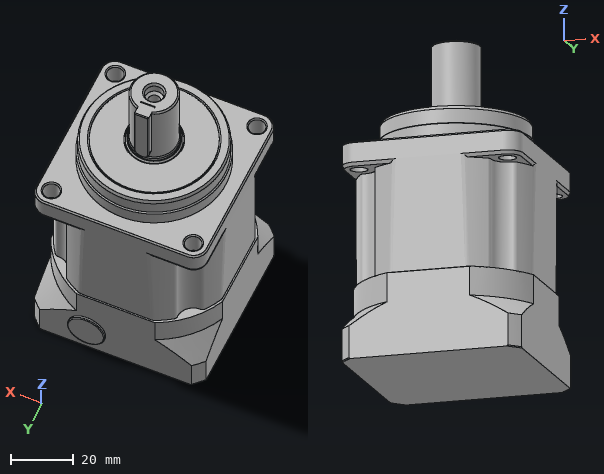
import cadquery as cq
import math

TOTAL_HEIGHT = 108.5
SIDE = 60.0
FLANGE_BOTTOM_Z = 63.5
FLANGE_TOP_Z = 71.6
PILOT_STEP_Z = 76.8
PILOT_TOP_Z = 82.6

BASE_CORNER_R = 40.0
BASE_NECK_R = 33.0
BASE_CORNER_TOP_Z = 10.8
BASE_NECK_Z = 17.8
BASE_TOP_Z = 27.3
BASE_EDGE_CHAMFER = 0.3

PLUG_R = 6.5
PLUG_X = 10.0
PLUG_Z = 9.5
PLUG_HEIGHT = 1.0
PLUG_CHAMFER = 0.3
PLUG_ROOT = 1.1

BODY_R = 32.1
BODY_TAPER = 0.5
BODY_EDGE_FILLET = 3.0
SCALLOP_R = 5.4
SCALLOP_LIP_FILLET = 1.5

FLANGE_CORNER_R = 5.0
FLANGE_TOP_CHAMFER = 0.5
FLANGE_UNDER_CHAMFER = 0.5
FLANGE_UNDER_HEIGHT = 1.2
BOLT_OFFSET = 24.7
BOLT_HOLE_R = 2.8
BOLT_HOLE_CHAMFER = 0.4

PILOT_LOWER_R = 25.0
PILOT_UPPER_R = 24.4
PILOT_STEP_DROP = 0.3
PILOT_CHAMFER = 0.5
PILOT_CHAMFER_HEIGHT = 1.1
SEAL_FACE_R = 20.7
SEAL_GROOVE_DEPTH = 0.5

SHAFT_R = 8.0
SHAFT_CHAMFER = 0.5
SHAFT_BOTTOM_Z = FLANGE_TOP_Z
COLLAR_R = 8.4
COLLAR_TOP_Z = 84.1
COLLAR_CHAMFER_HEIGHT = 0.5
LIP_TOP_R = 8.7
LIP_R = 9.2
LIP_SLOPE_HEIGHT = 0.5
SEAL_POCKET_R = 9.7
SEAL_POCKET_DEPTH = 0.9

KEY_WIDTH = 5.0
KEY_FLOOR_Y = 5.2
KEY_TOP_Y = 10.0
KEY_BOTTOM_Z = 85.5
KEY_CHAMFER = 0.3
KEY_GAP = 0.3

CENTRE_RIM_R = 3.7
CENTRE_BORE_R = 3.1
CENTRE_RIM_DEPTH = 1.0
CENTRE_BORE_DEPTH = 3.8
CENTRE_DRILL_R = 2.1
CENTRE_DRILL_DEPTH = 10.8
DRILL_SLOPE = math.tan(math.radians(30))

pocket_floor_z = PILOT_TOP_Z - SEAL_POCKET_DEPTH
bolt_points = [(sx * BOLT_OFFSET, sy * BOLT_OFFSET) for sx in (-1, 1) for sy in (-1, 1)]


def turned(profile):
    """Solid of revolution about Z from (radius, z) points."""
    return cq.Workplane("XZ").polyline(profile).close().revolve(360, (0, 0), (0, 1))


def square_prism(bottom_z, top_z):
    return cq.Workplane("XY").workplane(offset=bottom_z).rect(SIDE, SIDE).extrude(top_z - bottom_z)


def make_base():
    blank = turned([
        (0, 0),
        (BASE_CORNER_R - BASE_EDGE_CHAMFER, 0),
        (BASE_CORNER_R, BASE_EDGE_CHAMFER),
        (BASE_CORNER_R, BASE_CORNER_TOP_Z),
        (BASE_NECK_R, BASE_NECK_Z),
        (BASE_NECK_R, BASE_TOP_Z),
        (0, BASE_TOP_Z),
    ])
    return blank.intersect(square_prism(0, BASE_TOP_Z))


def make_plug():
    return (
        cq.Workplane("XZ", origin=(PLUG_X, SIDE / 2 - PLUG_ROOT, PLUG_Z))
        .circle(PLUG_R)
        .extrude(-(PLUG_ROOT + PLUG_HEIGHT))
        .faces(">Y").chamfer(PLUG_CHAMFER)
    )


def make_body():
    body_top_z = FLANGE_BOTTOM_Z + FLANGE_UNDER_HEIGHT
    height = body_top_z - BASE_TOP_Z
    taper_angle = math.degrees(math.atan(BODY_TAPER / height))
    square = (
        cq.Workplane("XY").workplane(offset=body_top_z)
        .rect(SIDE, SIDE)
        .extrude(-height, taper=taper_angle)
    )
    cylinder = cq.Workplane("XY").workplane(offset=BASE_TOP_Z).circle(BODY_R).extrude(height)
    body = square.intersect(cylinder)
    side_edges = cq.selectors.BoxSelector(
        (-SIDE, -SIDE, BASE_TOP_Z + height / 4), (SIDE, SIDE, body_top_z - height / 4)
    )
    body = body.edges(side_edges).fillet(BODY_EDGE_FILLET)

    scallops = (
        cq.Workplane("XY").workplane(offset=BASE_TOP_Z)
        .pushPoints(bolt_points).circle(SCALLOP_R).extrude(height)
    )
    body = body.cut(scallops)
    reach = 1.5 * SCALLOP_R
    for x, y in bolt_points:
        lip_edges = cq.selectors.BoxSelector(
            (x - reach, y - reach, BASE_TOP_Z),
            (x + reach, y + reach, body_top_z),
        )
        body = body.edges("|Z").edges(lip_edges).fillet(SCALLOP_LIP_FILLET)
    return body


def make_flange():
    flange = square_prism(FLANGE_BOTTOM_Z, FLANGE_TOP_Z).edges("|Z").fillet(FLANGE_CORNER_R)
    flange = flange.faces(">Z").chamfer(FLANGE_TOP_CHAMFER)
    return flange.faces("<Z").chamfer(FLANGE_UNDER_HEIGHT, FLANGE_UNDER_CHAMFER)


def make_pilot():
    return turned([
        (0, FLANGE_BOTTOM_Z),
        (PILOT_LOWER_R, FLANGE_BOTTOM_Z),
        (PILOT_LOWER_R, PILOT_STEP_Z - PILOT_STEP_DROP),
        (PILOT_UPPER_R, PILOT_STEP_Z),
        (PILOT_UPPER_R, PILOT_TOP_Z - PILOT_CHAMFER_HEIGHT),
        (PILOT_UPPER_R - PILOT_CHAMFER, PILOT_TOP_Z),
        (SEAL_FACE_R + SEAL_GROOVE_DEPTH, PILOT_TOP_Z),
        (SEAL_FACE_R, PILOT_TOP_Z - SEAL_GROOVE_DEPTH),
        (SEAL_FACE_R, PILOT_TOP_Z),
        (0, PILOT_TOP_Z),
    ])


def make_shaft_seat():
    """Seal pocket in the pilot face and the bore that takes the shaft."""
    return turned([
        (0, SHAFT_BOTTOM_Z),
        (COLLAR_R, SHAFT_BOTTOM_Z),
        (COLLAR_R, pocket_floor_z),
        (SEAL_POCKET_R, pocket_floor_z),
        (SEAL_POCKET_R, PILOT_TOP_Z),
        (0, PILOT_TOP_Z),
    ])


def make_bolt_hole(x, y):
    hole = turned([
        (0, FLANGE_BOTTOM_Z),
        (BOLT_HOLE_R, FLANGE_BOTTOM_Z),
        (BOLT_HOLE_R, FLANGE_TOP_Z - BOLT_HOLE_CHAMFER),
        (BOLT_HOLE_R + BOLT_HOLE_CHAMFER, FLANGE_TOP_Z),
        (0, FLANGE_TOP_Z),
    ])
    return hole.translate((x, y, 0))


def make_housing():
    housing = make_base()
    for part in (make_plug(), make_body(), make_flange(), make_pilot()):
        housing = housing.union(part)
    housing = housing.cut(make_shaft_seat())
    for x, y in bolt_points:
        housing = housing.cut(make_bolt_hole(x, y))
    return housing


def make_shaft_blank():
    return turned([
        (0, SHAFT_BOTTOM_Z),
        (COLLAR_R, SHAFT_BOTTOM_Z),
        (COLLAR_R, pocket_floor_z),
        (LIP_R, pocket_floor_z),
        (LIP_R, PILOT_TOP_Z - LIP_SLOPE_HEIGHT),
        (LIP_TOP_R, PILOT_TOP_Z),
        (COLLAR_R, PILOT_TOP_Z),
        (COLLAR_R, COLLAR_TOP_Z - COLLAR_CHAMFER_HEIGHT),
        (SHAFT_R, COLLAR_TOP_Z),
        (SHAFT_R, TOTAL_HEIGHT - SHAFT_CHAMFER),
        (SHAFT_R - SHAFT_CHAMFER, TOTAL_HEIGHT),
        (0, TOTAL_HEIGHT),
    ])


def make_key_bar(floor_y, top_y):
    """Bar with a round lower end that runs out flush with the shaft end."""
    end_centre_z = KEY_BOTTOM_Z + KEY_WIDTH / 2
    return (
        cq.Workplane("XZ", origin=(0, floor_y, 0))
        .moveTo(-KEY_WIDTH / 2, TOTAL_HEIGHT)
        .lineTo(-KEY_WIDTH / 2, end_centre_z)
        .threePointArc((0, KEY_BOTTOM_Z), (KEY_WIDTH / 2, end_centre_z))
        .lineTo(KEY_WIDTH / 2, TOTAL_HEIGHT)
        .close()
        .extrude(floor_y - top_y)
    )


def make_centre_hole():
    def z(depth):
        return TOTAL_HEIGHT - depth

    cone_depth = CENTRE_BORE_DEPTH + (CENTRE_BORE_R - CENTRE_DRILL_R) * DRILL_SLOPE
    tip_depth = CENTRE_DRILL_DEPTH + CENTRE_DRILL_R * DRILL_SLOPE
    return turned([
        (0, z(0)),
        (CENTRE_RIM_R, z(0)),
        (CENTRE_BORE_R, z(CENTRE_RIM_DEPTH)),
        (CENTRE_BORE_R, z(CENTRE_BORE_DEPTH)),
        (CENTRE_DRILL_R, z(cone_depth)),
        (CENTRE_DRILL_R, z(CENTRE_DRILL_DEPTH)),
        (0, z(tip_depth)),
    ])


def make_shaft():
    key = make_key_bar(KEY_FLOOR_Y, KEY_TOP_Y).faces(">Y").edges().chamfer(KEY_CHAMFER)
    floor_slit = make_key_bar(KEY_FLOOR_Y - KEY_GAP, KEY_FLOOR_Y)
    return make_shaft_blank().union(key).cut(floor_slit).cut(make_centre_hole())


housing = make_housing()
shaft = make_shaft()

result = cq.Compound.makeCompound([housing.val(), shaft.val()])